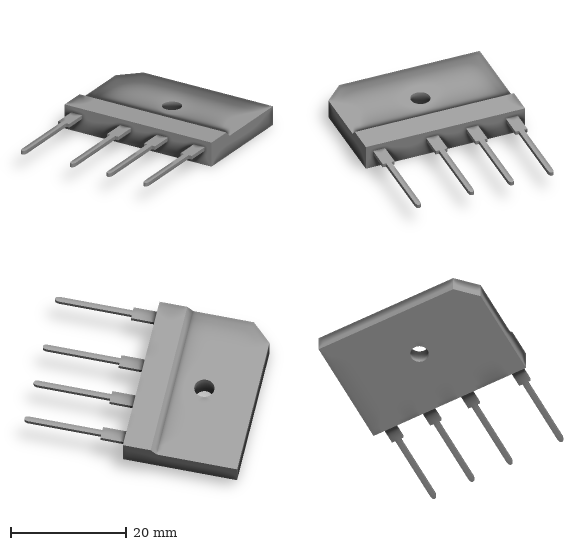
import cadquery as cq

OVERALL_LENGTH = 38.3
BODY_WIDTH = 30.0
BODY_LENGTH = 20.3
BODY_HEIGHT = 4.6

PLATE_HEIGHT = 3.55
RIDGE_FLAT = 4.95
SLOPE_RUN = 1.07

CORNER_CUT = 3.52
HOLE_TOP_DIAMETER = 3.52
HOLE_BOTTOM_DIAMETER = 3.2
HOLE_Y = 11.22

LEAD_THICKNESS = 0.7
LEAD_TOP_DEPTH = 1.2
SHOULDER_WIDTH = 2.25
SHOULDER_LENGTH = 4.3
PIN_WIDTH = 1.0
TIP_LENGTH = 0.7
ROUND_WIDTH = 0.75
ROUND_LENGTH = 0.23
LEAD_INSET = 2.5
LEAD_PITCH = 7.5
WIDE_PITCH = BODY_WIDTH - 2 * LEAD_INSET - 2 * LEAD_PITCH

LEAD_LENGTH = OVERALL_LENGTH - BODY_LENGTH
LEAD_BOTTOM = BODY_HEIGHT - LEAD_TOP_DEPTH - LEAD_THICKNESS
FIRST_LEAD_X = LEAD_INSET - BODY_WIDTH / 2
SECOND_LEAD_X = FIRST_LEAD_X + WIDE_PITCH
LEAD_CENTRES = [FIRST_LEAD_X] + [SECOND_LEAD_X + i * LEAD_PITCH for i in range(3)]


def make_housing():
    """Stepped plate with a bevelled corner and a tapered through hole."""
    side_profile = [
        (0, 0),
        (BODY_LENGTH, 0),
        (BODY_LENGTH, PLATE_HEIGHT),
        (RIDGE_FLAT + SLOPE_RUN, PLATE_HEIGHT),
        (RIDGE_FLAT, BODY_HEIGHT),
        (0, BODY_HEIGHT),
    ]
    plate = cq.Workplane("YZ").polyline(side_profile).close().extrude(BODY_WIDTH / 2, both=True)
    plate = plate.edges("|Z and <X and >Y").chamfer(CORNER_CUT)
    hole = (
        cq.Workplane("XY")
        .center(0, HOLE_Y)
        .circle(HOLE_BOTTOM_DIAMETER / 2)
        .workplane(offset=PLATE_HEIGHT)
        .circle(HOLE_TOP_DIAMETER / 2)
        .loft()
    )
    return plate.cut(hole)


def make_lead(centre_x):
    """Flat lead: wide shoulder against the housing, narrow pin and tapered, rounded tip."""
    half_shoulder = SHOULDER_WIDTH / 2
    half_pin = PIN_WIDTH / 2
    tip_start = TIP_LENGTH - LEAD_LENGTH
    half_round = ROUND_WIDTH / 2
    round_start = ROUND_LENGTH - LEAD_LENGTH
    lead = (
        cq.Workplane("XY")
        .moveTo(-half_pin, tip_start)
        .lineTo(-half_pin, -SHOULDER_LENGTH)
        .lineTo(-half_shoulder, -SHOULDER_LENGTH)
        .lineTo(-half_shoulder, 0)
        .lineTo(half_shoulder, 0)
        .lineTo(half_shoulder, -SHOULDER_LENGTH)
        .lineTo(half_pin, -SHOULDER_LENGTH)
        .lineTo(half_pin, tip_start)
        .lineTo(half_round, round_start)
        .threePointArc((0, -LEAD_LENGTH), (-half_round, round_start))
        .close()
        .extrude(LEAD_THICKNESS)
    )
    return lead.translate((centre_x, 0, LEAD_BOTTOM))


housing = make_housing()
leads = [make_lead(centre_x) for centre_x in LEAD_CENTRES]

result = cq.Compound.makeCompound([housing.val(), *[lead.val() for lead in leads]])